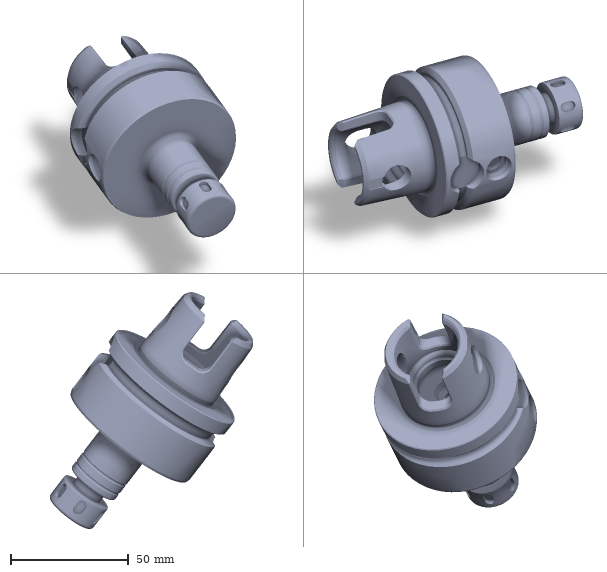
import cadquery as cq
import math


TAPER_LENGTH = 32.0
TAPER_BASE_RADIUS = 20.0
TAPER_SLOPE = 0.05
TIP_CHAMFER_LENGTH = 2.0
TIP_CHAMFER_HEIGHT = 1.3
NECK_START_X = -1.75
NECK_CONE_LENGTH = 0.8
NECK_RADIUS = 19.7

RELIEF_DEPTH = 0.5
RELIEF_OUTER_RADIUS = 22.0
RELIEF_FLOOR_RADIUS = 21.05
RELIEF_FILLET = 0.5

FLANGE_RADIUS = 31.5
FLANGE_END_X = 32.9
FLANGE_FACE_CHAMFER = 0.4
FLANGE_END_CHAMFER_LENGTH = 1.0
FLANGE_END_CHAMFER_HEIGHT = 0.4
GROOVE_CENTRE_X = 9.75
GROOVE_FLOOR_WIDTH = 4.0
GROOVE_MOUTH_WIDTH = 6.7
GROOVE_FLOOR_RADIUS = 27.7
GROOVE_BEVEL_HEIGHT = 2.3

SHAFT_RADIUS = 11.5
SHAFT_END_X = 59.0
SHAFT_END_FILLET = 1.0
SHAFT_ROOT_FILLET = 2.8
RING_GROOVE_CENTRES = (50.5, 55.3)
RING_GROOVE_WIDTH = 1.3
RING_GROOVE_DEPTH = 0.35
NUT_NECK_RADIUS = 7.0
NUT_START_X = 63.4
NUT_END_X = 75.0
NUT_BACK_CHAMFER_LENGTH = 0.6
NUT_BACK_CHAMFER_HEIGHT = 0.15
NUT_FRONT_FILLET = 1.5
NUT_SLOT_COUNT = 6
NUT_SLOT_CENTRE_X = 68.1
NUT_SLOT_LENGTH = 6.9
NUT_SLOT_WIDTH = 4.2
NUT_SLOT_FLOOR_RADIUS = 9.6

MOUTH_RADIUS = 15.9
MOUTH_CHAMFER_LENGTH = 0.7
MOUTH_THROAT_RADIUS = 14.95
MOUTH_TAPER_LENGTH = 1.4
BORE_RADIUS = 14.0
LIP_START_X = -8.4
LIP_FILLET = 1.95
STEP_FILLET = 1.1
INNER_GROOVE_START_X = -1.9
INNER_GROOVE_WIDTH = 4.0
INNER_GROOVE_DEPTH = 1.0

CENTRE_HOLE_RADIUS = 5.5
CENTRE_HOLE_DEPTH = 3.0
SEAT_OUTER_RADIUS = 8.79 / 2
SEAT_INNER_RADIUS = 3.5
SEAT_DEPTH = 1.0
MIDDLE_HOLE_RADIUS = 1.75
MIDDLE_HOLE_DEPTH = 2.0
SMALL_HOLE_RADIUS = 0.85
SMALL_HOLE_DEPTH = 4.0

DRIVE_SLOT_WIDTH = 13.9
DRIVE_SLOT_END_X = -11.75
DRIVE_SLOT_CORNER_RADIUS = 4.0
DRIVE_SLOT_LEAD_LENGTH = 2.2
DRIVE_SLOT_LEAD_HEIGHT = 1.4
DRIVE_SLOT_EDGE_CHAMFER = 0.6

CROSS_HOLE_DIAMETER = 12.5
CROSS_HOLE_X = -17.0
BALL_SEAT_TILT = 22.0
BALL_SEAT_PIVOT_DISTANCE = 18.5
BALL_SEAT_LENGTH = 10.0
FLAT_WIDTH = 5.0
FLAT_DISTANCE = 18.2

POCKET_DIAMETER = 16.0
POCKET_FLOOR_DISTANCE = 26.5
SIDE_HOLE_X = 24.8
SIDE_HOLE_STEPS = ((12.0, 3.5), (11.0, 6.0), (8.0, 8.0))
SIDE_HOLE_CONE_LENGTH = 0.7

TIP_X = -TAPER_LENGTH
DIAGONAL = math.sqrt(0.5)


def taper_radius(x):
    return TAPER_BASE_RADIUS + TAPER_SLOPE * x


def revolve_about_x(profile):
    return profile.close().revolve(360, (0, 0, 0), (1, 0, 0))


def make_turned_body():
    """Solid of revolution of the outside shape."""
    chamfer_x = TIP_X + TIP_CHAMFER_LENGTH
    chamfer_radius = taper_radius(chamfer_x)
    mouth_half = GROOVE_MOUTH_WIDTH / 2
    floor_half = GROOVE_FLOOR_WIDTH / 2
    bevel_radius = FLANGE_RADIUS - GROOVE_BEVEL_HEIGHT
    fillet_offset = RELIEF_FILLET * (1 - DIAGONAL)
    root_offset = SHAFT_ROOT_FILLET * (1 - DIAGONAL)
    shaft_end_offset = SHAFT_END_FILLET * (1 - DIAGONAL)
    nut_offset = NUT_FRONT_FILLET * (1 - DIAGONAL)
    profile = (
        cq.Workplane("XY")
        .moveTo(TIP_X, 0)
        .lineTo(TIP_X, chamfer_radius - TIP_CHAMFER_HEIGHT)
        .lineTo(chamfer_x, chamfer_radius)
        .lineTo(NECK_START_X, taper_radius(NECK_START_X))
        .lineTo(NECK_START_X + NECK_CONE_LENGTH, NECK_RADIUS)
        .lineTo(RELIEF_DEPTH - RELIEF_FILLET, NECK_RADIUS)
        .threePointArc(
            (RELIEF_DEPTH - fillet_offset, NECK_RADIUS + fillet_offset),
            (RELIEF_DEPTH, NECK_RADIUS + RELIEF_FILLET),
        )
        .lineTo(RELIEF_DEPTH, RELIEF_FLOOR_RADIUS)
        .lineTo(0, RELIEF_OUTER_RADIUS)
        .lineTo(0, FLANGE_RADIUS - FLANGE_FACE_CHAMFER)
        .lineTo(FLANGE_FACE_CHAMFER, FLANGE_RADIUS)
        .lineTo(GROOVE_CENTRE_X - mouth_half, FLANGE_RADIUS)
        .lineTo(GROOVE_CENTRE_X - floor_half, bevel_radius)
        .lineTo(GROOVE_CENTRE_X - floor_half, GROOVE_FLOOR_RADIUS)
        .lineTo(GROOVE_CENTRE_X + floor_half, GROOVE_FLOOR_RADIUS)
        .lineTo(GROOVE_CENTRE_X + floor_half, bevel_radius)
        .lineTo(GROOVE_CENTRE_X + mouth_half, FLANGE_RADIUS)
        .lineTo(FLANGE_END_X - FLANGE_END_CHAMFER_LENGTH, FLANGE_RADIUS)
        .lineTo(FLANGE_END_X, FLANGE_RADIUS - FLANGE_END_CHAMFER_HEIGHT)
        .lineTo(FLANGE_END_X, SHAFT_RADIUS + SHAFT_ROOT_FILLET)
        .threePointArc(
            (FLANGE_END_X + root_offset, SHAFT_RADIUS + root_offset),
            (FLANGE_END_X + SHAFT_ROOT_FILLET, SHAFT_RADIUS),
        )
    )
    for centre_x in RING_GROOVE_CENTRES:
        profile = profile.lineTo(centre_x - RING_GROOVE_WIDTH / 2, SHAFT_RADIUS).threePointArc(
            (centre_x, SHAFT_RADIUS - RING_GROOVE_DEPTH),
            (centre_x + RING_GROOVE_WIDTH / 2, SHAFT_RADIUS),
        )
    profile = (
        profile.lineTo(SHAFT_END_X - SHAFT_END_FILLET, SHAFT_RADIUS)
        .threePointArc(
            (SHAFT_END_X - shaft_end_offset, SHAFT_RADIUS - shaft_end_offset),
            (SHAFT_END_X, SHAFT_RADIUS - SHAFT_END_FILLET),
        )
        .lineTo(SHAFT_END_X, NUT_NECK_RADIUS)
        .lineTo(NUT_START_X, NUT_NECK_RADIUS)
        .lineTo(NUT_START_X, SHAFT_RADIUS - NUT_BACK_CHAMFER_HEIGHT)
        .lineTo(NUT_START_X + NUT_BACK_CHAMFER_LENGTH, SHAFT_RADIUS)
        .lineTo(NUT_END_X - NUT_FRONT_FILLET, SHAFT_RADIUS)
        .threePointArc(
            (NUT_END_X - nut_offset, SHAFT_RADIUS - nut_offset),
            (NUT_END_X, SHAFT_RADIUS - NUT_FRONT_FILLET),
        )
        .lineTo(NUT_END_X, 0)
    )
    return revolve_about_x(profile)


def make_bore():
    """Stepped bore of the hollow shank, with the centre hole in its floor."""
    throat_x = TIP_X + MOUTH_CHAMFER_LENGTH
    lip_offset = LIP_FILLET * (1 - DIAGONAL)
    lip_end_x = LIP_START_X + LIP_FILLET
    step_radius = BORE_RADIUS - LIP_FILLET
    step_reach = STEP_FILLET * DIAGONAL
    step_offset = STEP_FILLET - step_reach
    step_x = lip_end_x + STEP_FILLET
    inner_radius = step_radius - STEP_FILLET
    floor_x = INNER_GROOVE_START_X + INNER_GROOVE_WIDTH
    seat_x = floor_x + CENTRE_HOLE_DEPTH
    seat_end_x = seat_x + SEAT_DEPTH
    middle_end_x = seat_end_x + MIDDLE_HOLE_DEPTH
    small_end_x = middle_end_x + SMALL_HOLE_DEPTH
    profile = (
        cq.Workplane("XY")
        .moveTo(TIP_X, 0)
        .lineTo(TIP_X, MOUTH_RADIUS)
        .lineTo(throat_x, MOUTH_THROAT_RADIUS)
        .lineTo(throat_x + MOUTH_TAPER_LENGTH, BORE_RADIUS)
        .lineTo(LIP_START_X, BORE_RADIUS)
        .threePointArc(
            (LIP_START_X + lip_offset, step_radius + lip_offset),
            (lip_end_x, step_radius),
        )
        .threePointArc(
            (lip_end_x + step_reach, step_radius - step_offset),
            (step_x, inner_radius),
        )
        .lineTo(INNER_GROOVE_START_X, inner_radius)
        .threePointArc(
            (INNER_GROOVE_START_X + INNER_GROOVE_WIDTH / 2, inner_radius + INNER_GROOVE_DEPTH),
            (floor_x, inner_radius),
        )
        .lineTo(floor_x, CENTRE_HOLE_RADIUS)
        .lineTo(seat_x, SEAT_OUTER_RADIUS)
        .lineTo(seat_end_x, SEAT_INNER_RADIUS)
        .lineTo(seat_end_x, MIDDLE_HOLE_RADIUS)
        .lineTo(middle_end_x, MIDDLE_HOLE_RADIUS)
        .lineTo(middle_end_x, SMALL_HOLE_RADIUS)
        .lineTo(small_end_x, SMALL_HOLE_RADIUS)
        .lineTo(small_end_x, 0)
    )
    return revolve_about_x(profile)


def make_drive_slot_cutter():
    """Cutter through Z: rounded inner corners and a flared entrance at the tip."""
    half = DRIVE_SLOT_WIDTH / 2
    lead_half = half + DRIVE_SLOT_LEAD_HEIGHT
    corner_x = DRIVE_SLOT_END_X - DRIVE_SLOT_CORNER_RADIUS
    corner_y = half - DRIVE_SLOT_CORNER_RADIUS
    arc_reach = DRIVE_SLOT_CORNER_RADIUS * DIAGONAL
    return (
        cq.Workplane("XY")
        .moveTo(TIP_X, -lead_half)
        .lineTo(TIP_X + DRIVE_SLOT_LEAD_LENGTH, -half)
        .lineTo(corner_x, -half)
        .threePointArc(
            (corner_x + arc_reach, -corner_y - arc_reach), (DRIVE_SLOT_END_X, -corner_y)
        )
        .lineTo(DRIVE_SLOT_END_X, corner_y)
        .threePointArc((corner_x + arc_reach, corner_y + arc_reach), (corner_x, half))
        .lineTo(TIP_X + DRIVE_SLOT_LEAD_LENGTH, half)
        .lineTo(TIP_X, lead_half)
        .close()
        .extrude(TAPER_BASE_RADIUS, both=True)
    )


def chamfer_drive_slot_edges(body):
    """Break the outer and inner edges of the drive slots, up to the flared entrance."""
    lead_end_x = TIP_X + DRIVE_SLOT_LEAD_LENGTH
    half_width = DRIVE_SLOT_WIDTH / 2
    margin = 0.1
    lowest_z = math.sqrt(BORE_RADIUS**2 - half_width**2) - margin
    upper_zone = cq.selectors.BoxSelector(
        (lead_end_x + margin, -half_width - margin, lowest_z),
        (DRIVE_SLOT_END_X + margin, half_width + margin, TAPER_BASE_RADIUS),
    )
    lower_zone = cq.selectors.BoxSelector(
        (lead_end_x + margin, -half_width - margin, -TAPER_BASE_RADIUS),
        (DRIVE_SLOT_END_X + margin, half_width + margin, -lowest_z),
    )
    corner_edges = cq.selectors.ParallelDirSelector(cq.Vector(0, 0, 1))
    return body.edges((upper_zone + lower_zone) - corner_edges).chamfer(DRIVE_SLOT_EDGE_CHAMFER)


def make_flat_cutter():
    """Shallow flat from the tip to the cross hole, on the +Y side."""
    length = CROSS_HOLE_X - TIP_X
    height = TAPER_BASE_RADIUS - FLAT_DISTANCE
    return cq.Workplane("XY").box(length, height, FLAT_WIDTH, centered=(False, False, True)).translate(
        (TIP_X, FLAT_DISTANCE, 0)
    )


def cylinder_along_y(diameter, x, y_start, y_end):
    return cq.Workplane(
        cq.Solid.makeCylinder(diameter / 2, y_end - y_start, cq.Vector(x, y_start, 0), cq.Vector(0, 1, 0))
    )


def make_ball_seat_cutter():
    """Slanted widening of the cross hole, leaning inward to the tip, on the +Y side."""
    seat = cylinder_along_y(
        CROSS_HOLE_DIAMETER,
        CROSS_HOLE_X,
        BALL_SEAT_PIVOT_DISTANCE - BALL_SEAT_LENGTH,
        BALL_SEAT_PIVOT_DISTANCE,
    )
    pivot = (CROSS_HOLE_X, BALL_SEAT_PIVOT_DISTANCE, 0)
    pivot_axis_end = (CROSS_HOLE_X, BALL_SEAT_PIVOT_DISTANCE, 1)
    return seat.rotate(pivot, pivot_axis_end, -BALL_SEAT_TILT)


def make_side_hole_cutter():
    """Stepped blind hole into the flange rim, on the +Y side."""
    cutter = None
    for diameter, depth in SIDE_HOLE_STEPS:
        step = cylinder_along_y(diameter, SIDE_HOLE_X, FLANGE_RADIUS - depth, FLANGE_RADIUS)
        cutter = step if cutter is None else cutter.union(step)
    entry_diameter, entry_depth = SIDE_HOLE_STEPS[0]
    thread_diameter = SIDE_HOLE_STEPS[1][0]
    cone = cq.Solid.makeCone(
        entry_diameter / 2,
        thread_diameter / 2,
        SIDE_HOLE_CONE_LENGTH,
        cq.Vector(SIDE_HOLE_X, FLANGE_RADIUS - entry_depth, 0),
        cq.Vector(0, -1, 0),
    )
    return cutter.union(cq.Workplane(cone))


def cut_side_features(body):
    """Ball seats, flats, pockets and stepped holes, the same on +Y and -Y."""
    pocket = cylinder_along_y(POCKET_DIAMETER, GROOVE_CENTRE_X, POCKET_FLOOR_DISTANCE, FLANGE_RADIUS)
    cutters = (make_ball_seat_cutter(), make_flat_cutter(), pocket, make_side_hole_cutter())
    for cutter in cutters:
        body = body.cut(cutter).cut(cutter.rotate((0, 0, 0), (1, 0, 0), 180))
    return body


def cut_nut_slots(body):
    """Wrench slots spaced evenly around the nut, the first on +Z."""
    slot = (
        cq.Workplane("XY", origin=(NUT_SLOT_CENTRE_X, 0, NUT_SLOT_FLOOR_RADIUS))
        .slot2D(NUT_SLOT_LENGTH, NUT_SLOT_WIDTH)
        .extrude(SHAFT_RADIUS - NUT_SLOT_FLOOR_RADIUS)
    )
    for index in range(NUT_SLOT_COUNT):
        body = body.cut(slot.rotate((0, 0, 0), (1, 0, 0), index * 360 / NUT_SLOT_COUNT))
    return body


body = make_turned_body().cut(make_bore()).cut(make_drive_slot_cutter())
body = chamfer_drive_slot_edges(body)
body = body.cut(cylinder_along_y(CROSS_HOLE_DIAMETER, CROSS_HOLE_X, -TAPER_BASE_RADIUS, TAPER_BASE_RADIUS))
body = cut_side_features(body)
result = cut_nut_slots(body)